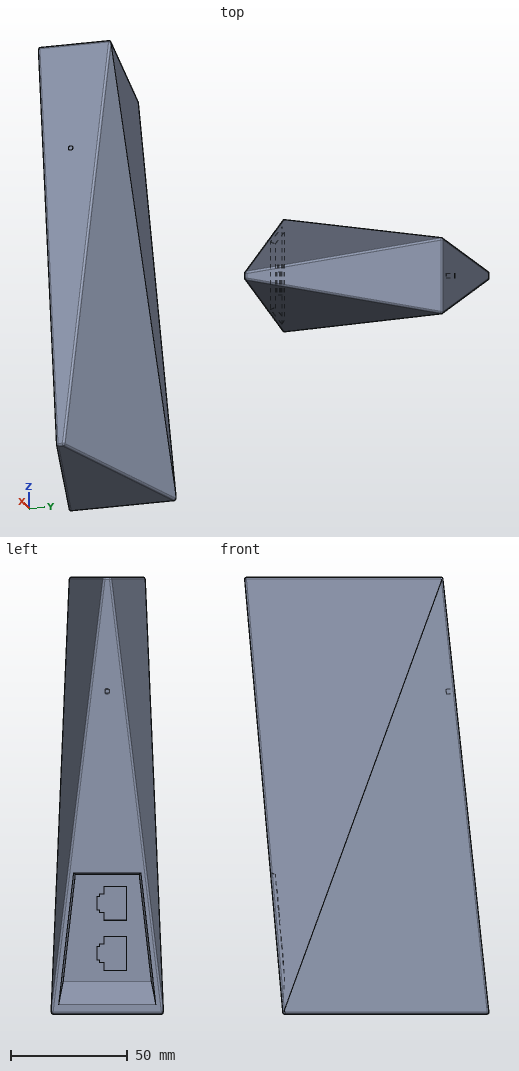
import cadquery as cq

HEIGHT = 187.0
LENGTH = 104.7
HALF_LENGTH = LENGTH / 2
TOP_WIDE_X = 32.5
TOP_HALF_WIDTH = 16.3
BOTTOM_WIDE_X = -35.9
BOTTOM_HALF_WIDTH = 24.1
TIP_HALF_WIDTH = 1.7
EDGE_RADIUS = 1.0
POSITION_TOLERANCE = 0.2

RECESS_BOTTOM = 4.3
RECESS_TOP = 60.8
RECESS_BOTTOM_HALF_WIDTH = 20.8
RECESS_TOP_HALF_WIDTH = 14.4
RECESS_DEPTH = 2.0
RECESS_DRAFT = 22.0
LEDGE_TOP = 14.0

SOCKET_DEPTH = 0.2
SOCKET_COUNT = 2
SOCKET_PITCH = 21.5
LOWER_SOCKET_CENTER = 26.0
SOCKET_BACK_Y = -8.2
SOCKET_STEPS = [
    (1.5, 14.5),
    (3.4, 7.9),
    (4.5, 5.8),
]

LIGHT_DIAMETER = 2.0
LIGHT_LENGTH = 3.7
LIGHT_HEIGHT = 138.4


def polygon_face(points):
    return cq.Face.makeFromWires(cq.Wire.makePolygon(points, close=True))


def is_side_diagonal(edge):
    """True for the crease across each side, between the two wide ends."""
    center = edge.Center()
    crease_center_x = (TOP_WIDE_X + BOTTOM_WIDE_X) / 2
    at_mid_height = abs(center.z - HEIGHT / 2) < POSITION_TOLERANCE
    return at_mid_height and abs(center.x - crease_center_x) < POSITION_TOLERANCE


def make_housing_form():
    def corners(x, half_width, z):
        return [cq.Vector(x, side * half_width, z) for side in (-1, 1)]

    top_tip = corners(-HALF_LENGTH, TIP_HALF_WIDTH, HEIGHT)
    top_wide = corners(TOP_WIDE_X, TOP_HALF_WIDTH, HEIGHT)
    bottom_wide = corners(BOTTOM_WIDE_X, BOTTOM_HALF_WIDTH, 0)
    bottom_tip = corners(HALF_LENGTH, TIP_HALF_WIDTH, 0)

    outlines = [
        (top_tip[0], top_wide[0], top_wide[1], top_tip[1]),
        (bottom_wide[0], bottom_tip[0], bottom_tip[1], bottom_wide[1]),
        (top_tip[0], top_tip[1], bottom_wide[1], bottom_wide[0]),
        (top_wide[0], top_wide[1], bottom_tip[1], bottom_tip[0]),
    ]
    for side in (0, 1):
        outlines.append((top_tip[side], top_wide[side], bottom_wide[side]))
        outlines.append((top_wide[side], bottom_tip[side], bottom_wide[side]))
    faces = [polygon_face(outline) for outline in outlines]
    solid = cq.Solid.makeSolid(cq.Shell.makeShell(faces)).fix()
    rounded_edges = [edge for edge in solid.Edges() if not is_side_diagonal(edge)]
    return cq.Workplane(solid.fillet(EDGE_RADIUS, rounded_edges))


back_lean = BOTTOM_WIDE_X + HALF_LENGTH
back_plane = cq.Plane(
    origin=(BOTTOM_WIDE_X, 0, 0),
    xDir=(0, -1, 0),
    normal=(-HEIGHT, 0, -back_lean),
)


def make_recess():
    opening = (
        cq.Workplane(back_plane)
        .polyline([
            (-RECESS_BOTTOM_HALF_WIDTH, RECESS_BOTTOM),
            (RECESS_BOTTOM_HALF_WIDTH, RECESS_BOTTOM),
            (RECESS_TOP_HALF_WIDTH, RECESS_TOP),
            (-RECESS_TOP_HALF_WIDTH, RECESS_TOP),
        ])
        .close()
        .extrude(-RECESS_DEPTH, taper=RECESS_DRAFT)
    )
    side_plane = cq.Plane(
        origin=back_plane.origin.toTuple(),
        xDir=back_plane.yDir.toTuple(),
        normal=back_plane.xDir.toTuple(),
    )
    ledge = (
        cq.Workplane(side_plane)
        .polyline([(RECESS_BOTTOM, 0), (LEDGE_TOP, -RECESS_DEPTH), (RECESS_BOTTOM, -RECESS_DEPTH)])
        .close()
        .extrude(RECESS_BOTTOM_HALF_WIDTH, both=True)
    )
    return opening.cut(ledge)


def make_socket(center_height):
    floor = cq.Workplane(back_plane).workplane(offset=-RECESS_DEPTH)
    steps = []
    for far_y, height in SOCKET_STEPS:
        width = far_y - SOCKET_BACK_Y
        middle_y = (far_y + SOCKET_BACK_Y) / 2
        outline = floor.center(-middle_y, center_height).rect(width, height)
        steps.append(outline.extrude(-SOCKET_DEPTH))
    body, shoulder, latch = steps
    return body.union(shoulder).union(latch)


def make_light():
    """Pin set square to the +X face, with its outer end flush."""
    front_lean = HALF_LENGTH - TOP_WIDE_X
    light_x = HALF_LENGTH - front_lean * LIGHT_HEIGHT / HEIGHT
    light_plane = cq.Plane(
        origin=(light_x, 0, LIGHT_HEIGHT),
        xDir=(0, 1, 0),
        normal=(HEIGHT, 0, front_lean),
    )
    return cq.Workplane(light_plane).circle(LIGHT_DIAMETER / 2).extrude(-LIGHT_LENGTH)


light = make_light()

housing = make_housing_form().cut(make_recess())
for socket_index in range(SOCKET_COUNT):
    housing = housing.cut(make_socket(LOWER_SOCKET_CENTER + socket_index * SOCKET_PITCH))
housing = housing.cut(light)

result = cq.Compound.makeCompound([housing.val(), light.val()])